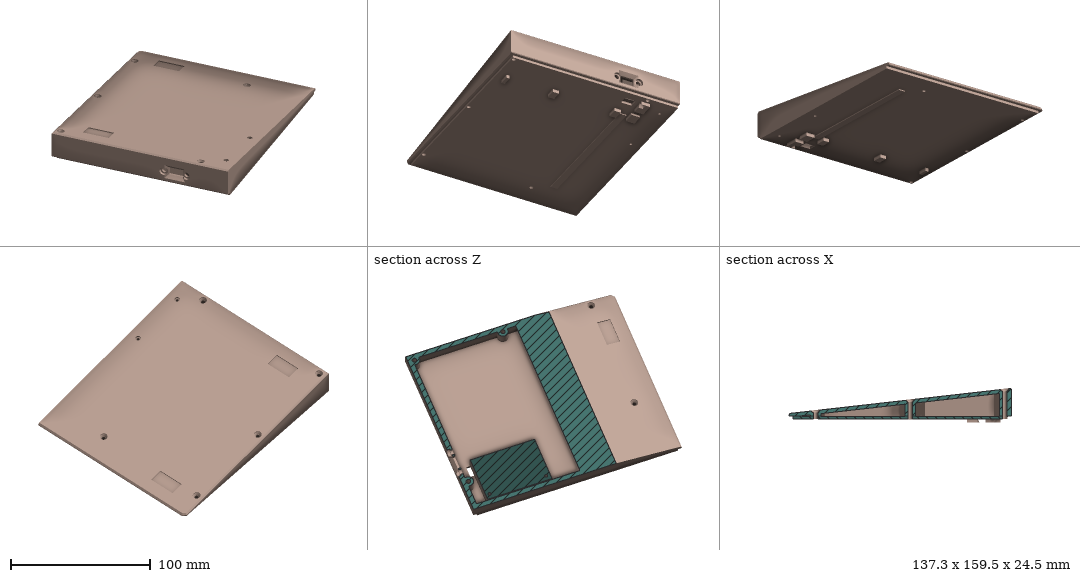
import cadquery as cq
import math

WIDTH = 137.32
DEPTH = 159.53
HEIGHT = 24.53
ROOF_ANGLE = 6.45
ROOF_SLOPE = math.tan(math.radians(ROOF_ANGLE))

WALL = 4.0
ROOF_THICKNESS = 3.0
CASE_BOTTOM = 4.42
ROOF_CHAMFER = 1.1
BOTTOM_CHAMFER = 0.5
CORNER_CHAMFER = 2.4
CREST = HEIGHT + ROOF_CHAMFER * ROOF_SLOPE
CEILING_CREST = CREST - ROOF_THICKNESS / math.cos(math.radians(ROOF_ANGLE))

OVERSHOOT = 1.0

SCREW_HOLE_D = 2.9
SCREW_HEAD_D = 5.6
SCREW_HEAD_DEPTH = 0.6
BOSS_D = 8.0
SCREW_INSET = 5.0
BACK_SCREW_Y = 140.3
SCREW_POINTS = [
    (SCREW_INSET, SCREW_INSET),
    (SCREW_INSET, (SCREW_INSET + BACK_SCREW_Y) / 2),
    (SCREW_INSET, BACK_SCREW_Y),
    (92.2, BACK_SCREW_Y),
    (113.8, SCREW_INSET),
]

FOOT_LENGTH = 20.0
FOOT_WIDTH = 10.0
FOOT_DEPTH = 0.8
FOOT_X = 30.0
FOOT_YS = [15.4, 144.1]

PORT_X = 95.6
PORT_Z = 12.27
PORT_WIDTH = 10.7
PORT_HEIGHT = 5.7
FLARE = 2.5
FLARE_DEPTH = 2.5
PORT_SCREW_PITCH = 17.5
PORT_SCREW_D = 3.7
PORT_SCREW_HEAD_D = 5.9
PORT_SCREW_HEAD_DEPTH = 2.0

PLATE_BOTTOM = 2.54
PLATE_INSET_X = 3.1
PLATE_INSET_Y = 2.9
WINDOW_X = (98.0, 106.5)
WINDOW_Y = (9.5, 16.0)

STRIP_BOTTOM = 1.9
STRIP_X = (103.5, 108.8)
STRIP_Y = (28.0, 132.4)

REAR_Y = (24.2, 31.8)
FRONT_Y = (8.6, 18.6)
REAR_LEAN_FOOT_Y = 22.9
FRONT_LEAN_ROOT_Y = 10.9
FRONT_LEAN_FOOT_Y = 12.6
LIP_THICKNESS = 0.6
NARROW_RIB_XS = [(9.4, 11.9), (47.0, 52.0), (97.2, 102.2)]
WIDE_RIB_X = (110.4, 117.3)
WIDE_RIB_MIDDLE_X = sum(WIDE_RIB_X) / 2

HOLDER_X = (97.3, 133.0)
HOLDER_Y = (12.5, 62.0)
HOLDER_SCREW_D = 2.0
HOLDER_HEAD_D = 4.0
HOLDER_HEAD_DEPTH = 1.0
HOLDER_SCREW_POINTS = [(129.1, 15.5), (129.1, 58.7)]


def roof_z(y):
    return CREST - y * ROOF_SLOPE


def ceiling_z(y):
    return CEILING_CREST - y * ROOF_SLOPE


def block(x_range, y_range, z_range):
    x0, x1 = x_range
    y0, y1 = y_range
    z0, z1 = z_range
    return cq.Workplane("XY").box(x1 - x0, y1 - y0, z1 - z0, centered=False).translate((x0, y0, z0))


def side_prism(profile, x_range):
    x0, x1 = x_range
    return cq.Workplane("YZ").workplane(offset=x0).polyline(profile).close().extrude(x1 - x0)


def screw_head():
    """Head pocket along Z from a roof at Z = 0: a short bore, then a 90 degree cone to the hole."""
    bore_r = SCREW_HEAD_D / 2
    hole_r = SCREW_HOLE_D / 2
    profile = [
        (0, OVERSHOOT),
        (bore_r, OVERSHOOT),
        (bore_r, -SCREW_HEAD_DEPTH),
        (hole_r, -SCREW_HEAD_DEPTH - bore_r + hole_r),
        (0, -SCREW_HEAD_DEPTH - bore_r + hole_r),
    ]
    return cq.Workplane("XZ").polyline(profile).close().revolve(360, (0, 0, 0), (0, 1, 0))


def set_in_roof(tool, x, y):
    """Tilt a tool made at the origin square to the roof and move it to a roof point."""
    return tool.rotate((0, 0, 0), (1, 0, 0), -ROOF_ANGLE).translate((x, y, roof_z(y)))


def wedge():
    profile = [(0, CASE_BOTTOM), (DEPTH, CASE_BOTTOM), (DEPTH, roof_z(DEPTH)), (0, roof_z(0))]
    body = side_prism(profile, (0, WIDTH + WALL))
    body = body.edges("|Z and <X and >Y").chamfer(CORNER_CHAMFER)
    body = body.faces(">Z").edges("not >X").chamfer(ROOF_CHAMFER)
    body = body.faces("<Z").edges("not >X").chamfer(BOTTOM_CHAMFER)
    return body.intersect(block((0, WIDTH), (0, DEPTH), (0, HEIGHT)))


def cavity():
    back = (CEILING_CREST - CASE_BOTTOM) / ROOF_SLOPE
    profile = [(WALL, CASE_BOTTOM), (back, CASE_BOTTOM), (WALL, ceiling_z(WALL))]
    room = side_prism(profile, (WALL, WIDTH - WALL))
    for x, y in SCREW_POINTS:
        boss = cq.Workplane("XY").center(x, y).circle(BOSS_D / 2).extrude(HEIGHT)
        room = room.cut(boss)
    return room


def port():
    mouth_w = PORT_WIDTH + 2 * FLARE
    mouth_h = PORT_HEIGHT + 2 * FLARE
    front = cq.Workplane("XZ", origin=(PORT_X, 0, PORT_Z))
    flare = (
        front.rect(mouth_w, mouth_h)
        .workplane(offset=-FLARE_DEPTH)
        .rect(PORT_WIDTH, PORT_HEIGHT)
        .loft(ruled=True)
    )
    opening = flare.union(front.rect(PORT_WIDTH, PORT_HEIGHT).extrude(-WALL - OVERSHOOT))
    for side in (-1, 1):
        x = side * PORT_SCREW_PITCH / 2
        hole = front.center(x, 0).circle(PORT_SCREW_D / 2).extrude(-WALL - OVERSHOOT)
        head = front.center(x, 0).circle(PORT_SCREW_HEAD_D / 2).extrude(-PORT_SCREW_HEAD_DEPTH)
        opening = opening.union(hole).union(head)
    return opening


def through_holes(points, diameter):
    return cq.Workplane("XY").pushPoints(points).circle(diameter / 2).extrude(HEIGHT + OVERSHOOT)


def make_case():
    body = wedge().cut(cavity()).cut(port())
    for y in FOOT_YS:
        pocket = cq.Workplane("XY").box(FOOT_LENGTH, FOOT_WIDTH, 2 * FOOT_DEPTH)
        body = body.cut(set_in_roof(pocket, FOOT_X, y))
    body = body.cut(through_holes(SCREW_POINTS, SCREW_HOLE_D))
    for x, y in SCREW_POINTS:
        body = body.cut(set_in_roof(screw_head(), x, y))
    body = body.cut(through_holes(HOLDER_SCREW_POINTS, HOLDER_SCREW_D))
    for x, y in HOLDER_SCREW_POINTS:
        head = cq.Workplane("XY").circle(HOLDER_HEAD_D / 2).extrude(HOLDER_HEAD_DEPTH, both=True)
        body = body.cut(set_in_roof(head, x, y))
    return body


def rib(x_range, rear_y, front_root_y, front_foot_y):
    """Rib under the plate; its front end leans when the root and foot differ in y."""
    profile = [(rear_y, PLATE_BOTTOM), (rear_y, 0), (front_foot_y, 0), (front_root_y, PLATE_BOTTOM)]
    return side_prism(profile, x_range)


def wide_ribs():
    left, right = WIDE_RIB_X
    lip_y = FRONT_Y[0] - LIP_THICKNESS
    rear = rib(WIDE_RIB_X, REAR_Y[1], REAR_Y[0], REAR_LEAN_FOOT_Y)
    leaning_half = rib((left, WIDE_RIB_MIDDLE_X), FRONT_Y[1], FRONT_LEAN_ROOT_Y, FRONT_LEAN_FOOT_Y)
    upright_half = rib((WIDE_RIB_MIDDLE_X, right), FRONT_Y[1], FRONT_Y[0], FRONT_Y[0])
    lip = rib(WIDE_RIB_X, FRONT_Y[0], lip_y, lip_y)
    return rear.union(upright_half).union(lip).union(leaning_half)


def make_plate():
    body = block(
        (PLATE_INSET_X, WIDTH),
        (PLATE_INSET_Y, DEPTH - PLATE_INSET_Y),
        (PLATE_BOTTOM, CASE_BOTTOM),
    )
    body = body.cut(block(WINDOW_X, WINDOW_Y, (0, HEIGHT)))
    body = body.cut(through_holes(SCREW_POINTS, SCREW_HOLE_D))
    body = body.cut(through_holes(HOLDER_SCREW_POINTS, HOLDER_SCREW_D))
    body = body.union(block(STRIP_X, STRIP_Y, (STRIP_BOTTOM, PLATE_BOTTOM)))
    for x_range in NARROW_RIB_XS:
        body = body.union(rib(x_range, REAR_Y[1], REAR_Y[0], REAR_Y[0]))
    return body.union(wide_ribs())


def make_holder():
    y0, y1 = HOLDER_Y
    profile = [(y0, CASE_BOTTOM), (y1, CASE_BOTTOM), (y1, ceiling_z(y1)), (y0, ceiling_z(y0))]
    body = side_prism(profile, HOLDER_X)
    return body.cut(through_holes(HOLDER_SCREW_POINTS, HOLDER_SCREW_D))


case = make_case()
plate = make_plate()
holder = make_holder()

result = cq.Compound.makeCompound([case.val(), plate.val(), holder.val()])